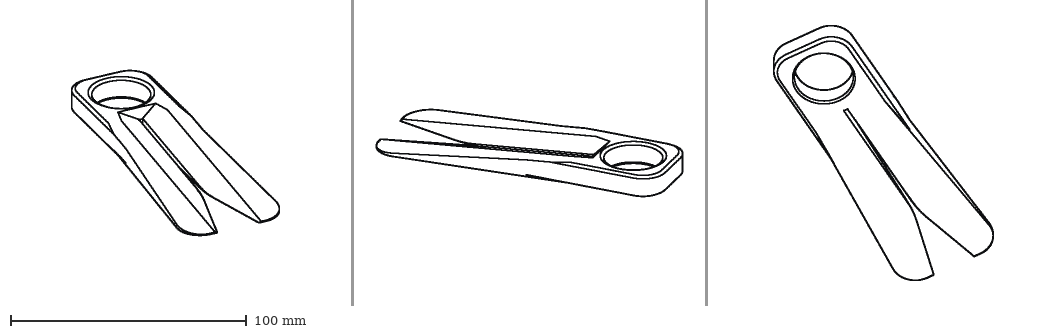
import cadquery as cq
import math

length = 131.0
thickness = 10.0
handle_half_width = 18.3
handle_corner_radius = 10.2
chamfer_width = 1.6
chamfer_height = 0.9

hole_diameter = 25.0
hole_x = handle_half_width
hole_bottom_rim_width = 0.8
hole_bottom_rim_height = 1.0

blade_start_x = 60.0
blade_slope = 0.085
blade_corner_radius = 10.5

ridge_y = 10.9
taper_start_x = 40.6
ridge_start = (taper_start_x, ridge_y, thickness)
tip_thickness = 0.5
taper_slope = (thickness - tip_thickness) / (length - taper_start_x)
taper_side_slope = 0.008

bevel_slope = 0.39
bevel_wall_x = 33.3
bevel_wall_slope = 0.93

slot_half_width = 0.9
slot_start_x = 37.2
flare_tip_y = 9.8
flare_slope = taper_slope / bevel_slope
flare_corner_x = length - (flare_tip_y - slot_half_width) / flare_slope
flare_radius = 39.3

reach = 3 * length


def chamfered_handle():
    """Rounded plate with both rims chamfered, cut off where the blades take over."""
    uncut_length = 2 * blade_start_x
    plate = (
        cq.Workplane("XY")
        .center(uncut_length / 2, 0)
        .rect(uncut_length, 2 * handle_half_width)
        .extrude(thickness)
        .edges("|Z")
        .fillet(handle_corner_radius)
        .faces("<Z or >Z")
        .chamfer(chamfer_height, chamfer_width)
    )
    handle_zone = cq.Workplane("XY").box(
        blade_start_x, reach, reach, centered=(False, True, True)
    )
    return plate.intersect(handle_zone)


def blade_blank():
    """Full-height half outline of one blade; its side starts inside the handle chamfer."""
    root_y = handle_half_width - chamfer_width
    root_x = blade_start_x - chamfer_width / blade_slope
    end_y = root_y + blade_slope * (length - root_x)
    blank = (
        cq.Workplane("XY")
        .moveTo(root_x, 0)
        .lineTo(length, 0)
        .lineTo(length, end_y)
        .lineTo(root_x, root_y)
        .close()
        .extrude(thickness)
    )
    return blank.edges("|Z and >X and >Y").fillet(blade_corner_radius)


def space_above(origin, slope_x, slope_y):
    """Thick slab resting on the plane through origin with the given rises along X and Y."""
    plane = cq.Plane(origin=origin, xDir=(1, 0, slope_x), normal=(-slope_x, -slope_y, 1))
    return cq.Workplane(plane).rect(reach, reach).extrude(length)


def top_taper():
    """Removes the stock above the top face that falls towards the blade tip."""
    return space_above(ridge_start, -taper_slope, -taper_side_slope)


def inner_bevel():
    """Removes the stock between the ridge and the slot, as far as the sloping wall."""
    bevel = space_above(ridge_start, -taper_slope, bevel_slope)
    wall = space_above((bevel_wall_x, 0, thickness), -bevel_wall_slope, 0)
    return bevel.intersect(wall)


def half_slot():
    """Slot on the +Y side, its straight edge blending into the flare by an arc."""
    flare_angle = math.atan(flare_slope)
    tangent = flare_radius * math.tan(flare_angle / 2)
    arc_start = (flare_corner_x - tangent, slot_half_width)
    arc_end = (
        flare_corner_x + tangent * math.cos(flare_angle),
        slot_half_width + tangent * math.sin(flare_angle),
    )
    return (
        cq.Workplane("XY")
        .moveTo(slot_start_x, 0)
        .lineTo(slot_start_x, slot_half_width)
        .lineTo(*arc_start)
        .tangentArcPoint(arc_end, relative=False)
        .lineTo(length, flare_tip_y)
        .lineTo(length, 0)
        .close()
        .extrude(thickness)
    )


def finger_hole():
    """Through hole with a countersunk rim on the top and bottom faces."""
    radius = hole_diameter / 2
    top_rim_radius = radius + chamfer_width
    bottom_rim_radius = radius + hole_bottom_rim_width
    profile = [
        (0, 0),
        (bottom_rim_radius, 0),
        (radius, hole_bottom_rim_height),
        (radius, thickness - chamfer_height),
        (top_rim_radius, thickness),
        (0, thickness),
    ]
    turned = cq.Workplane("XZ").polyline(profile).close().revolve(360, (0, 0), (0, 1))
    return turned.translate((hole_x, 0, 0))


positive_side = cq.Workplane("XY").box(reach, reach, reach, centered=(True, False, True))
half = chamfered_handle().intersect(positive_side).union(blade_blank())
half = half.cut(top_taper()).cut(inner_bevel()).cut(half_slot())

result = half.union(half.mirror("XZ")).cut(finger_hole())